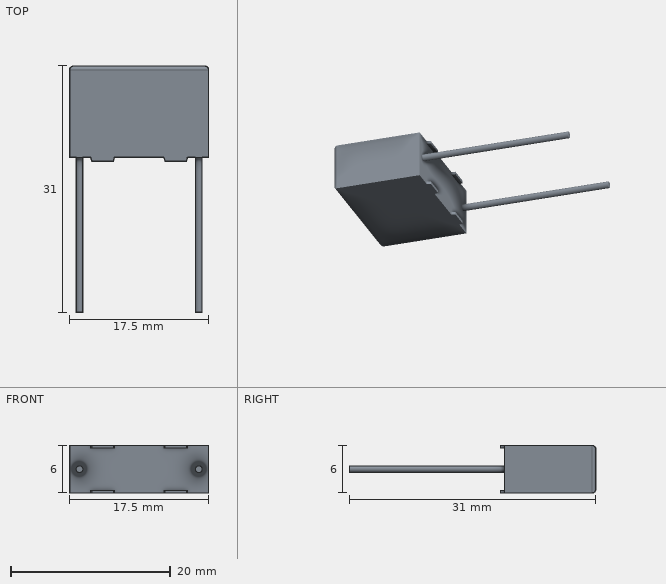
import cadquery as cq

case_width = 17.5
case_depth = 11.5
case_thickness = 6.0
back_edge_radius = 0.5

tab_height = 0.5
tab_thickness = 0.35
tab_base_width = 3.0
tab_tip_width = 2.7
tab_pitch = 9.2

lead_diameter = 0.85
lead_pitch = 15.0
lead_length = 19.5


def make_tab(center_x, bottom_z):
    """One trapezoidal stand-off tab, narrowing away from the lead face."""
    half_base = tab_base_width / 2
    half_tip = tab_tip_width / 2
    return (
        cq.Workplane("XY", origin=(center_x, 0, bottom_z))
        .moveTo(-half_base, 0)
        .lineTo(-half_tip, -tab_height)
        .lineTo(half_tip, -tab_height)
        .lineTo(half_base, 0)
        .close()
        .extrude(tab_thickness)
    )


def make_case():
    """Case with a rounded back and four stand-off tabs around the leads."""
    body = (
        cq.Workplane("XY")
        .box(case_width, case_depth, case_thickness, centered=(True, False, True))
        .faces(">Y")
        .edges()
        .fillet(back_edge_radius)
    )
    lower_tab_z = -case_thickness / 2
    upper_tab_z = case_thickness / 2 - tab_thickness
    for center_x in (-tab_pitch / 2, tab_pitch / 2):
        for bottom_z in (lower_tab_z, upper_tab_z):
            body = body.union(make_tab(center_x, bottom_z))
    return body


def make_lead(center_x):
    """Straight round lead running from the lead face toward -Y."""
    return (
        cq.Workplane("XZ", origin=(center_x, 0, 0))
        .circle(lead_diameter / 2)
        .extrude(lead_length)
    )


case = make_case()
leads = [make_lead(center_x) for center_x in (-lead_pitch / 2, lead_pitch / 2)]

result = cq.Compound.makeCompound([case.val(), *[lead.val() for lead in leads]])